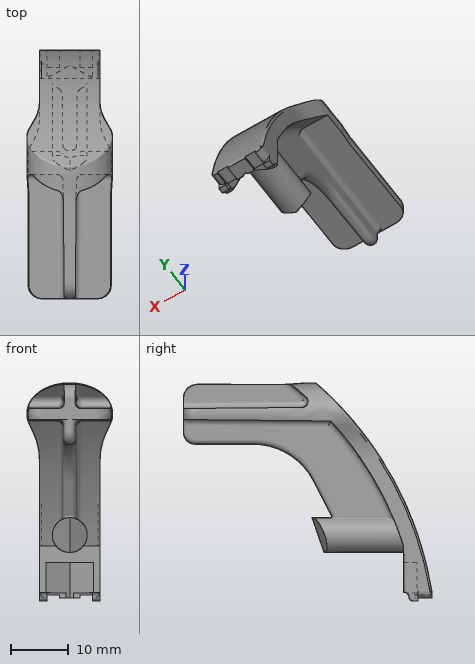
import cadquery as cq
import math


total_length = 43.14
total_height = 37.87
outer_radius = 60.9
plate_thickness = 2.95
inner_radius = outer_radius - plate_thickness
arc_center_y = -17.0
arc_center_z = -8.1
plate_half_width = 5.28
plate_foot_y = 38.2
plate_edge_radius = 0.35

head_half_width = 14.91 / 2
head_half_height = 5.38
head_center_z = total_height - head_half_height
neck_flare_slope = 0.47
neck_arc_radius = 10.5

cross_center_z = 32.45
cross_end_half_thickness = 0.95
cross_draft_angle = 0.55
concave_fillet_radius = 1.05
handle_inset = 0.23
head_draft_start_y = 21.5
head_draft_end_y = 18.0
handle_end_radius = 2.45
wing_root_y = 24.4
web_corner_radius = 2.1
web_bottom_z = 27.2
web_edge_radius = 0.8
web_bend_start_y = 12.2
web_bend_end_y = 22.55
web_bend_end_z = 21.2
web_leg_end_y = 26.0
web_leg_end_z = 14.5

pin_radius = 3.03
pin_center_z = 11.47
pin_top_end_y = 22.3
pin_bottom_end_y = 24.4
pin_end_setback = 1.15
pin_embedment = 0.5
pin_base_radius = 0.2

foot_back_y = 40.7
foot_inner_x = 3.93
foot_ogee_top_z = 1.53
foot_ogee_middle_y = 39.1
foot_ogee_middle_z = 0.75
foot_flat_end_y = 39.9
bar_bottom_z = 0.55
bar_corner_radius = 1.2
bar_front_y = 40.15
bar_relief_z = 1.05
bar_tab_half_width = 1.8
block_bottom_z = 1.43
groove_half_width = 4.1
groove_depth = 2.3
groove_top_z = 6.7

margin = 5.0
position_tolerance = 0.01
blank_half_width = head_half_width + margin


def arc_y(radius, z):
    """Y of the plate arc of the given radius at height z."""
    return arc_center_y + math.sqrt(radius ** 2 - (z - arc_center_z) ** 2)


def arc_z(radius, y):
    """Z of the plate arc of the given radius at position y."""
    return arc_center_z + math.sqrt(radius ** 2 - (y - arc_center_y) ** 2)


def arc_midpoint(radius, start, end):
    """Point halfway along the plate arc of the given radius between two (y, z) points."""
    start_angle = math.atan2(start[1] - arc_center_z, start[0] - arc_center_y)
    end_angle = math.atan2(end[1] - arc_center_z, end[0] - arc_center_y)
    angle = (start_angle + end_angle) / 2
    return (arc_center_y + radius * math.cos(angle), arc_center_z + radius * math.sin(angle))


def across(profile, half_width):
    """Extrude a YZ profile to both sides of the symmetry plane."""
    return profile.extrude(half_width, both=True)


def box(x, y, z):
    """Axis-aligned box from (low, high) pairs."""
    size = (x[1] - x[0], y[1] - y[0], z[1] - z[0])
    return cq.Workplane("XY").box(*size, centered=False).translate((x[0], y[0], z[0]))


def front_plane():
    """Sketch plane at the handle end: local x = X, local y = Z; extrude a negative distance for +Y."""
    return cq.Workplane("XZ")


def head_ellipse(y, inset):
    """Head outline at the given Y, moved inward by the inset; its two arcs join low on the neck."""
    center = cq.Vector(0, y, head_center_z)
    normal = cq.Vector(0, -1, 0)
    across_head = cq.Vector(1, 0, 0)
    arcs = [
        cq.Edge.makeEllipse(
            head_half_width - inset, head_half_height - inset, center, normal, across_head, start, end
        )
        for start, end in ((-45, 225), (225, 315))
    ]
    return cq.Wire.assembleEdges(arcs)


def head_outline():
    """Full ellipse at the plate, drawn in along the handle and rounded around its free end."""
    sections = (
        (0, handle_inset),
        (head_draft_end_y, handle_inset),
        (head_draft_start_y, 0),
        (total_length, 0),
    )
    wires = [head_ellipse(y, inset) for y, inset in sections]
    outline = cq.Workplane()
    for front, back in zip(wires, wires[1:]):
        outline = outline.union(cq.Workplane(cq.Solid.makeLoft([front, back], True)))
    return outline.faces("<Y").edges().fillet(handle_end_radius)


def plate_outline():
    """Head ellipse, flared neck and straight sides, carried along Y."""
    tangent_angle = math.atan(neck_flare_slope * head_half_height / head_half_width)
    tangent_x = head_half_width * math.cos(tangent_angle)
    tangent_z = head_center_z - head_half_height * math.sin(tangent_angle)
    flare_angle = math.atan(neck_flare_slope)
    arc_end_x = plate_half_width + neck_arc_radius * (1 - math.cos(flare_angle))
    arc_end_z = tangent_z - (tangent_x - arc_end_x) / neck_flare_slope
    arc_start_z = arc_end_z - neck_arc_radius * math.sin(flare_angle)
    arc_mid_x = plate_half_width + neck_arc_radius * (1 - math.cos(flare_angle / 2))
    arc_mid_z = arc_start_z + neck_arc_radius * math.sin(flare_angle / 2)
    neck = (
        front_plane()
        .moveTo(-plate_half_width, 0)
        .lineTo(plate_half_width, 0)
        .lineTo(plate_half_width, arc_start_z)
        .threePointArc((arc_mid_x, arc_mid_z), (arc_end_x, arc_end_z))
        .lineTo(tangent_x, tangent_z)
        .lineTo(-tangent_x, tangent_z)
        .lineTo(-arc_end_x, arc_end_z)
        .threePointArc((-arc_mid_x, arc_mid_z), (-plate_half_width, arc_start_z))
        .close()
        .extrude(-total_length)
    )
    return neck.union(head_outline())


def make_plate_blank():
    """Plate with the side profile of the part, wider and taller than the finished outline."""
    blank_top_z = total_height + margin
    outer_top = (arc_y(outer_radius, blank_top_z), blank_top_z)
    outer_bottom = (total_length, arc_z(outer_radius, total_length))
    inner_bottom = (plate_foot_y, arc_z(inner_radius, plate_foot_y))
    inner_top = (arc_y(inner_radius, blank_top_z), blank_top_z)
    profile = (
        cq.Workplane("YZ")
        .moveTo(*outer_top)
        .threePointArc(arc_midpoint(outer_radius, outer_top, outer_bottom), outer_bottom)
        .lineTo(total_length, bar_bottom_z)
        .lineTo(foot_back_y, bar_bottom_z)
        .lineTo(foot_back_y, 0)
        .lineTo(foot_flat_end_y, 0)
        .tangentArcPoint((foot_ogee_middle_y, foot_ogee_middle_z), relative=False)
        .tangentArcPoint((plate_foot_y, foot_ogee_top_z), relative=False)
        .lineTo(*inner_bottom)
        .threePointArc(arc_midpoint(inner_radius, inner_bottom, inner_top), inner_top)
        .close()
    )
    return across(profile, blank_half_width)


def drafted_half_thickness(y):
    """Half thickness of the wing and of the web at position y."""
    return cross_end_half_thickness + y * math.tan(math.radians(cross_draft_angle))


def drafted_slab(plane, half_depth):
    """Slab along Y that thickens toward the plate, extruded to both sides of the sketch plane."""
    back = drafted_half_thickness(total_length)
    front = drafted_half_thickness(0)
    corners = [(0, -front), (total_length, -back), (total_length, back), (0, front)]
    if plane == "XY":
        corners = [(x, y) for y, x in corners]
    return cq.Workplane(plane).polyline(corners).close().extrude(half_depth, both=True)


def plate_core():
    """Everything inside the middle surface of the plate; the handle is trimmed to it."""
    middle_radius = inner_radius + plate_thickness / 2
    disc = cq.Workplane("YZ").center(arc_center_y, arc_center_z).circle(middle_radius)
    return across(disc, blank_half_width)


def make_lower_web():
    """Web below the wing: down the handle, round the bend and along the leg to the pin."""
    leg_angle = math.atan2(web_bend_end_z - web_leg_end_z, web_leg_end_y - web_bend_end_y)
    bend_radius = (web_bend_end_y - web_bend_start_y) / math.sin(leg_angle)
    bend_center_z = web_bottom_z - bend_radius
    bend_mid_y = web_bend_start_y + bend_radius * math.sin(leg_angle / 2)
    bend_mid_z = bend_center_z + bend_radius * math.cos(leg_angle / 2)
    bend_end_z = bend_center_z + bend_radius * math.cos(leg_angle)
    foot_y = web_bend_end_y + (bend_end_z - pin_center_z) / math.tan(leg_angle)
    outline = (
        cq.Workplane("YZ")
        .moveTo(0, cross_center_z)
        .lineTo(0, web_bottom_z + web_corner_radius)
        .radiusArc((web_corner_radius, web_bottom_z), -web_corner_radius)
        .lineTo(web_bend_start_y, web_bottom_z)
        .threePointArc((bend_mid_y, bend_mid_z), (web_bend_end_y, bend_end_z))
        .lineTo(foot_y, pin_center_z)
        .lineTo(total_length, pin_center_z)
        .lineTo(total_length, cross_center_z)
        .close()
    )
    return across(outline, blank_half_width).intersect(drafted_slab("XY", total_height + margin))


def make_upper_web():
    """Web above the wing, taller than the finished outline."""
    top_z = total_height + margin
    block = box((-blank_half_width, blank_half_width), (0, total_length), (cross_center_z, top_z))
    return block.intersect(drafted_slab("XY", top_z + margin))


def make_wing():
    """Horizontal wing, wider than the finished outline."""
    return drafted_slab("YZ", blank_half_width).translate((0, 0, cross_center_z))


def both_sides(body, point):
    """The edge nearest to a point, and its mirror image across the symmetry plane."""
    x, y, z = point
    edges = []
    for side in (-1, 1):
        nearest = cq.selectors.NearestToPointSelector((side * x, y, z))
        edges.extend(body.edges(nearest).vals())
    return body.newObject(edges)


def make_blank():
    """Plate and handle joined with fillets, before trimming to the outline."""
    handle = make_lower_web().union(make_upper_web()).union(make_wing())
    blank = make_plate_blank().union(handle.intersect(plate_core()))

    half_way_y = wing_root_y / 2
    web_x = drafted_half_thickness(half_way_y)
    concave_edges = blank.newObject([])
    for point in (
        (web_x, half_way_y, cross_center_z + web_x),
        (web_x, half_way_y, cross_center_z - web_x),
        (web_x, arc_y(inner_radius, total_height), total_height),
        (blank_half_width / 2, arc_y(inner_radius, cross_center_z + web_x), cross_center_z + web_x),
        (web_x, arc_y(inner_radius, web_bend_end_z), web_bend_end_z),
    ):
        concave_edges = concave_edges.add(both_sides(blank, point))
    blank = concave_edges.fillet(concave_fillet_radius)

    lower_web_edge = both_sides(blank, (web_x, web_bend_start_y / 2, web_bottom_z))
    rounded = lower_web_edge.fillet(web_edge_radius)
    return rounded.union(make_wing().intersect(plate_core()))


def round_outer_edges(body):
    """Round the edges around the outer face of the plate."""

    def on_outer_face(edge):
        points = [edge.positionAt(t) for t in (0.1, 0.5, 0.9)]
        radii = [math.hypot(p.y - arc_center_y, p.z - arc_center_z) for p in points]
        on_arc = all(abs(r - outer_radius) < position_tolerance for r in radii)
        return on_arc and edge.Center().z > foot_ogee_top_z

    outer_edges = [edge for edge in body.edges().vals() if on_outer_face(edge)]
    return body.newObject(outer_edges).fillet(plate_edge_radius)


def foot_waste():
    """Clearance between the feet: under the block, under the bar and the V-groove."""
    between_feet = (-foot_inner_x, foot_inner_x)
    front = plate_foot_y - margin
    back = total_length + margin
    under_block = box(between_feet, (front, bar_front_y), (-margin, block_bottom_z))
    under_bar = box(between_feet, (front, back), (-margin, bar_bottom_z))
    waste = under_block.union(under_bar)
    for low_x in (-foot_inner_x, bar_tab_half_width):
        relief_x = (low_x, low_x + foot_inner_x - bar_tab_half_width)
        waste = waste.union(box(relief_x, (front, back), (-margin, bar_relief_z)))
    slope = groove_depth / groove_half_width
    groove = (
        cq.Workplane("XY")
        .moveTo(0, plate_foot_y + groove_depth)
        .lineTo(groove_half_width + margin, plate_foot_y - margin * slope)
        .lineTo(-groove_half_width - margin, plate_foot_y - margin * slope)
        .close()
        .extrude(groove_top_z)
    )
    return waste.union(groove)


def bar_corner_waste():
    """Material outside the rounded lower corners of the bar behind the feet."""
    corner = (
        cq.Workplane("XZ", origin=(0, foot_back_y, 0))
        .moveTo(plate_half_width - bar_corner_radius, bar_bottom_z)
        .radiusArc((plate_half_width, bar_bottom_z + bar_corner_radius), -bar_corner_radius)
        .lineTo(plate_half_width + margin, bar_bottom_z + bar_corner_radius)
        .lineTo(plate_half_width + margin, -margin)
        .lineTo(plate_half_width - bar_corner_radius, -margin)
        .close()
        .extrude(-margin)
    )
    return corner.union(corner.mirror("YZ"))


def make_pin():
    """Pin along Y, its free end cut to a raked wedge with the ridge at X = 0."""
    pin_back_y = plate_foot_y + pin_embedment
    rod = (
        cq.Workplane("XZ", origin=(0, pin_back_y, pin_center_z))
        .circle(pin_radius)
        .extrude(pin_back_y)
    )

    def wedge(ridge_y):
        side_y = ridge_y + pin_end_setback
        return [
            (0, ridge_y),
            (pin_radius, side_y),
            (pin_radius, total_length),
            (-pin_radius, total_length),
            (-pin_radius, side_y),
        ]

    kept = (
        cq.Workplane("XY", origin=(0, 0, pin_center_z - pin_radius))
        .polyline(wedge(pin_bottom_end_y))
        .close()
        .workplane(offset=2 * pin_radius)
        .polyline(wedge(pin_top_end_y))
        .close()
        .loft(ruled=True)
    )
    return rod.intersect(kept)


def add_pin(body):
    """Join the pin to the plate with a small fillet around its base."""
    joined = body.union(make_pin())
    base_edges = both_sides(joined, (pin_radius, arc_y(inner_radius, pin_center_z), pin_center_z))
    base_bottom = cq.selectors.NearestToPointSelector((0, plate_foot_y, pin_center_z - pin_radius))
    return base_edges.add(joined.edges(base_bottom)).fillet(pin_base_radius)


body = make_blank().intersect(plate_outline())
body = round_outer_edges(body)
body = body.cut(bar_corner_waste()).cut(foot_waste())
result = add_pin(body)